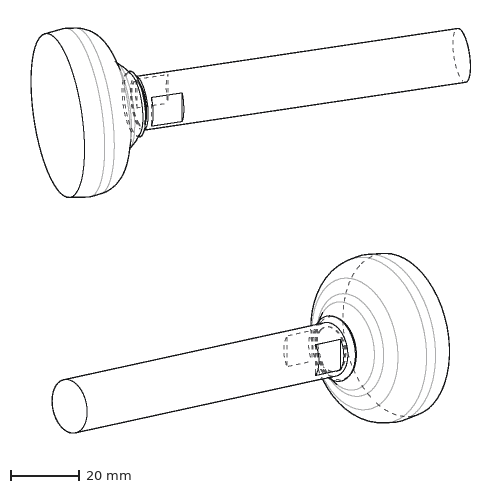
import cadquery as cq
import math


overall_length = 125.0

foot_radius = 25.0
rim_height = 6.0
rim_draft = math.radians(7)
shoulder_start = 9.1
shoulder_radius = 8.4
dome_radius = 16.0
dome_centre_height = 10.2
dome_end_angle = math.radians(55)
blend_radius = 5.0
foot_height = 23.15

seat_radius = math.sqrt(dome_radius**2 - (foot_height - dome_centre_height) ** 2)

rod_radius = 8.0
rod_start = 25.25
neck_radius = 6.7
neck_start = 24.95
collar_radius = 9.75
collar_edge_height = 23.85
flat_width = 13.0
flat_start = 26.8
flat_length = 9.5


def revolve_about_axis(outline):
    return outline.close().revolve(360, (0, 0, 0), (0, 1, 0))


def point_on_circle(centre, radius, angle):
    """Point at an angle measured from the +Y axis towards +X."""
    return (centre[0] + radius * math.sin(angle), centre[1] + radius * math.cos(angle))


def make_foot():
    base_radius = foot_radius - rim_height * math.tan(rim_draft)
    shoulder_edge = foot_radius - (shoulder_start - rim_height) * math.tan(rim_draft)
    seat_angle = math.asin(seat_radius / dome_radius)

    dome_centre = (0, dome_centre_height)
    rim_normal = math.pi / 2 - rim_draft
    shoulder_centre = point_on_circle((shoulder_edge, shoulder_start), -shoulder_radius, rim_normal)
    blend_centre = point_on_circle(dome_centre, dome_radius + blend_radius, dome_end_angle)

    across = blend_centre[0] - shoulder_centre[0]
    up = blend_centre[1] - shoulder_centre[1]
    spacing = math.hypot(across, up)
    flank_normal = math.atan2(across, up) + math.acos((shoulder_radius + blend_radius) / spacing)

    shoulder_middle = (rim_normal + flank_normal) / 2
    blend_middle = (flank_normal + dome_end_angle) / 2
    dome_middle = (dome_end_angle + seat_angle) / 2
    outline = (
        cq.Workplane("XY")
        .moveTo(0, 0)
        .lineTo(base_radius, 0)
        .lineTo(foot_radius, rim_height)
        .lineTo(shoulder_edge, shoulder_start)
        .threePointArc(
            point_on_circle(shoulder_centre, shoulder_radius, shoulder_middle),
            point_on_circle(shoulder_centre, shoulder_radius, flank_normal),
        )
        .lineTo(*point_on_circle(blend_centre, -blend_radius, flank_normal))
        .threePointArc(
            point_on_circle(blend_centre, -blend_radius, blend_middle),
            point_on_circle(dome_centre, dome_radius, dome_end_angle),
        )
        .threePointArc(
            point_on_circle(dome_centre, dome_radius, dome_middle),
            (seat_radius, foot_height),
        )
        .lineTo(0, foot_height)
    )
    return revolve_about_axis(outline)


def make_stud():
    outline = (
        cq.Workplane("XY")
        .moveTo(0, foot_height)
        .lineTo(seat_radius, foot_height)
        .lineTo(collar_radius, collar_edge_height)
        .lineTo(neck_radius, neck_start)
        .lineTo(neck_radius, rod_start)
        .lineTo(rod_radius, rod_start)
        .lineTo(rod_radius, overall_length)
        .lineTo(0, overall_length)
    )
    stud = revolve_about_axis(outline)

    cutter_size = 2 * rod_radius
    for side in (-1, 1):
        cutter = cq.Workplane("XY").box(cutter_size, flat_length, cutter_size)
        cutter_x = side * (flat_width + cutter_size) / 2
        stud = stud.cut(cutter.translate((cutter_x, flat_start + flat_length / 2, 0)))
    return stud


foot = make_foot()
stud = make_stud()
result = cq.Compound.makeCompound([foot.val(), stud.val()])